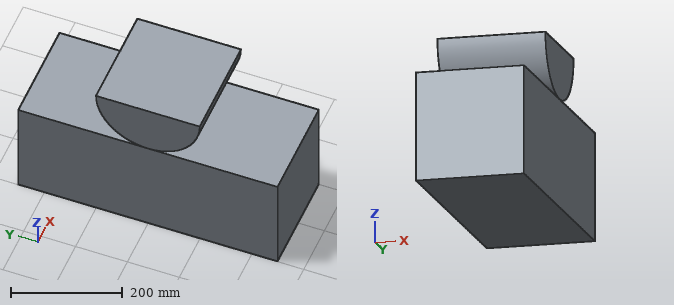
import cadquery as cq

width = 200.0
block_length = 500.0
block_height = 200.0
roller_radius = 100.0


def make_block():
    """Rectangular block standing on the Z = 0 plane."""
    return cq.Workplane("XY").box(width, block_length, block_height, centered=(True, True, False))


def make_half_roller():
    """Half cylinder along X, flat side up, resting on the block along one line."""
    flat_height = block_height + roller_radius
    return (
        cq.Workplane("YZ")
        .moveTo(-roller_radius, flat_height)
        .threePointArc((0, block_height), (roller_radius, flat_height))
        .close()
        .extrude(width / 2, both=True)
    )


block = make_block()
half_roller = make_half_roller()

result = cq.Compound.makeCompound([block.val(), half_roller.val()])